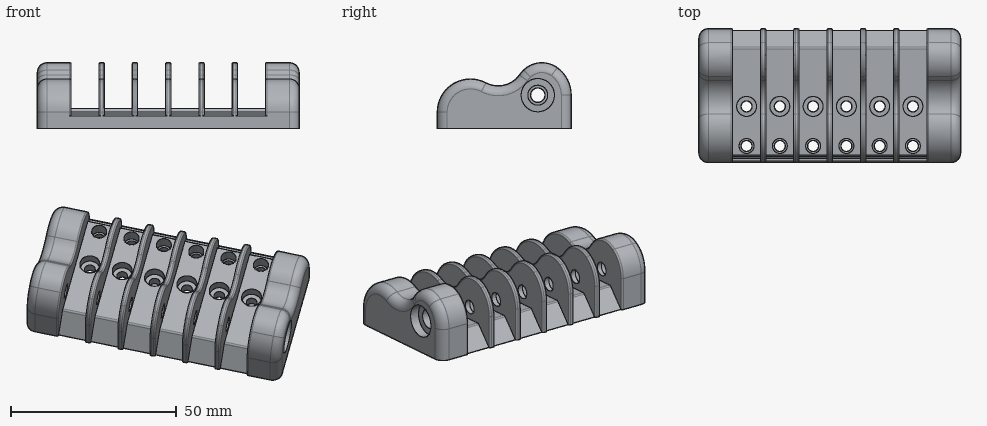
import cadquery as cq
import math

length = 79.0
depth = 40.45
front_y = -depth / 2
back_y = depth / 2

back_wall_top = 10.1
back_radius = 10.3
crown_radius = 7.9
slope_radius = 11.2
valley_radius = 7.9
nose_radius = 10.0
nose_z = 5.0
crown_start_angle = math.radians(54.1)
crown_end_angle = math.radians(134)

rib_count = 5
rib_pitch = 10.0
slot_width = 8.4
rib_width = rib_pitch - slot_width
slot_span = rib_count * rib_pitch + slot_width
end_width = (length - slot_span) / 2
rim_fillet = 0.5
end_fillet = 3.0

floor_z = 6.2
ledge_z = 4.4
ledge_back_y = -18.95
step_chamfer = 0.55
nosing_angle = math.radians(45)
ramp_top_y = 14.4
ramp_foot_y = 19.7
ramp_top_fillet = 0.8

rod_y = 10.1
rod_z = 10.1
rod_diameter = 4.3
rod_entry_diameter = 6.0
rod_head_diameter = 10.0
rod_head_depth = 3.0
rod_lip = 1.5

screw_diameter = 3.2
rear_screw_y = -3.2
rear_head_diameter = 6.0
rear_head_depth = 3.0
front_screw_y = -15.2
front_head_diameter = 4.5
front_head_depth = 4.0


def along(point, distance, angle):
    """Point at a distance and angle (radians, from +Y towards +Z) from another point."""
    return (point[0] + distance * math.cos(angle), point[1] + distance * math.sin(angle))


def angle_between(start, end):
    return math.atan2(end[1] - start[1], end[0] - start[0])


def arc_to(outline, center, radius, start_angle, end_angle):
    """Extend an outline with a circular arc that starts where the outline ends."""
    middle = along(center, radius, (start_angle + end_angle) / 2)
    return outline.threePointArc(middle, along(center, radius, end_angle))


def side_plate(thickness, start_x):
    """Plate with the full side profile, from start_x towards +X."""
    back = (back_y - back_radius, back_wall_top)
    crown = along(back, back_radius - crown_radius, crown_start_angle)
    slope = along(crown, crown_radius - slope_radius, crown_end_angle)
    nose = (front_y + nose_radius, nose_z)

    to_slope = valley_radius + slope_radius
    to_nose = valley_radius + nose_radius
    spacing = math.dist(nose, slope)
    nose_corner = math.acos((spacing**2 + to_nose**2 - to_slope**2) / (2 * spacing * to_nose))
    valley = along(nose, to_nose, angle_between(nose, slope) + nose_corner)
    slope_end = angle_between(slope, valley)
    nose_start = angle_between(nose, valley)

    outline = cq.Workplane("YZ", origin=(start_x, 0, 0)).moveTo(front_y, 0).lineTo(back_y, 0)
    outline = outline.lineTo(back_y, back_wall_top)
    outline = arc_to(outline, back, back_radius, 0, crown_start_angle)
    outline = arc_to(outline, crown, crown_radius, crown_start_angle, crown_end_angle)
    outline = arc_to(outline, slope, slope_radius, crown_end_angle, slope_end)
    outline = arc_to(outline, valley, valley_radius, slope_end - math.pi, nose_start - math.pi)
    outline = arc_to(outline, nose, nose_radius, nose_start, math.pi)
    return outline.close().extrude(thickness)


def ease_rim(plate, side):
    """Round the profile edges on one side of a plate, all but the bottom edge."""
    return plate.faces(side).edges("not(<Z)").fillet(rim_fillet)


def left_end():
    """End block with a stepped rod entry that leaves a thin lip at its inner face."""
    plate = side_plate(end_width, -length / 2)
    plate = ease_rim(plate, ">X")
    plate = plate.faces("<X").edges("not(<Z)").fillet(end_fillet)
    outer_face = -length / 2
    head_recess = x_cylinder(rod_head_diameter, outer_face, outer_face + rod_head_depth)
    entry = x_cylinder(rod_entry_diameter, outer_face, outer_face + end_width - rod_lip)
    return plate.cut(head_recess).cut(entry)


def rib(center_x):
    plate = side_plate(rib_width, center_x - rib_width / 2)
    return ease_rim(ease_rim(plate, "<X"), ">X")


def base_bar():
    """Floor of the slots, reaching under the rim fillets of the two ends."""
    riser_y = ledge_back_y + step_chamfer
    riser_z = ledge_z + step_chamfer
    nosing_radius = (floor_z - riser_z) / math.sin(nosing_angle)
    nosing_center = (riser_y + nosing_radius, riser_z)
    nosing_top = along(nosing_center, nosing_radius, math.pi - nosing_angle)

    bar_width = slot_span + 2 * rim_fillet
    outline = cq.Workplane("YZ", origin=(-bar_width / 2, 0, 0)).moveTo(front_y, 0)
    outline = outline.lineTo(ramp_foot_y, 0).lineTo(ramp_top_y, floor_z).lineTo(*nosing_top)
    outline = arc_to(outline, nosing_center, nosing_radius, math.pi - nosing_angle, math.pi)
    outline = outline.lineTo(ledge_back_y, ledge_z).lineTo(front_y + step_chamfer, ledge_z)
    outline = outline.lineTo(front_y, ledge_z - step_chamfer)
    bar = outline.close().extrude(bar_width)
    ramp_top_edge = cq.selectors.NearestToPointSelector((0, ramp_top_y, floor_z))
    return bar.edges(ramp_top_edge).fillet(ramp_top_fillet)


def x_cylinder(diameter, start_x, end_x):
    """Cylinder on the rod axis."""
    plane = cq.Workplane("YZ", origin=(start_x, rod_y, rod_z))
    return plane.circle(diameter / 2).extrude(end_x - start_x)


def screw_hole(x, y, head_diameter, head_depth):
    """Vertical through hole with a counterbore sunk into the slot floor."""
    shank = cq.Workplane("XY", origin=(x, y, 0)).circle(screw_diameter / 2).extrude(floor_z)
    seat = cq.Workplane("XY", origin=(x, y, floor_z - head_depth))
    return shank.union(seat.circle(head_diameter / 2).extrude(head_depth))


def centered_row(count):
    """X positions of a row of features at the rib pitch, centred on the part."""
    return [(index - (count - 1) / 2) * rib_pitch for index in range(count)]


left = left_end()
result = base_bar().union(left).union(left.mirror("YZ"))
for rib_x in centered_row(rib_count):
    result = result.union(rib(rib_x))

result = result.cut(x_cylinder(rod_diameter, -length / 2, length / 2))

for slot_x in centered_row(rib_count + 1):
    result = result.cut(screw_hole(slot_x, rear_screw_y, rear_head_diameter, rear_head_depth))
    result = result.cut(screw_hole(slot_x, front_screw_y, front_head_diameter, front_head_depth))